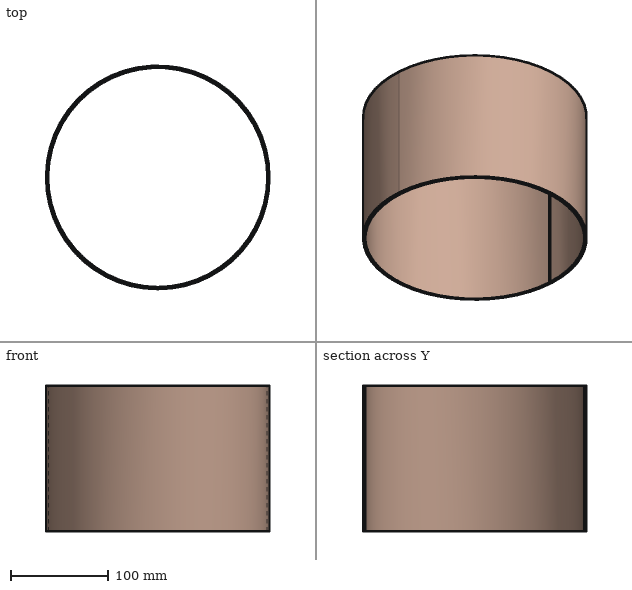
import cadquery as cq

outer_diameter = 230.0
wall_thickness = 2.5
height = 150.0
outer_chamfer = 0.5
inner_chamfer = 0.2
slit_width = 2.0

outer_radius = outer_diameter / 2
inner_radius = outer_radius - wall_thickness


def make_sleeve():
    """Revolve the chamfered wall section about the Z axis."""
    wall_section = [
        (-outer_radius, outer_chamfer),
        (-outer_radius, height - outer_chamfer),
        (-outer_radius + outer_chamfer, height),
        (-inner_radius - inner_chamfer, height),
        (-inner_radius, height - inner_chamfer),
        (-inner_radius, inner_chamfer),
        (-inner_radius - inner_chamfer, 0),
        (-outer_radius + outer_chamfer, 0),
    ]
    section = cq.Workplane("XZ").polyline(wall_section).close()
    sleeve = section.revolve(360, (0, 0, 0), (0, 1, 0))
    return sleeve.rotate((0, 0, 0), (0, 0, 1), 180)


def make_slit_cutter():
    """Bar from the axis out past the -X wall, with one side on the XZ plane."""
    bar = cq.Workplane("XY").box(outer_diameter, slit_width, height, centered=False)
    return bar.translate((-outer_diameter, 0, 0))


result = make_sleeve().cut(make_slit_cutter())